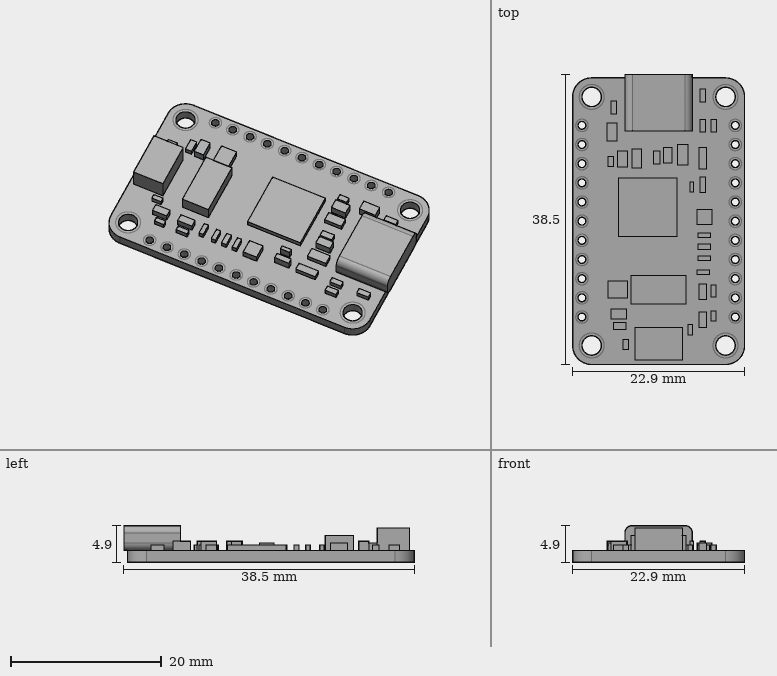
import cadquery as cq


TOTAL_LENGTH = 38.55
TOTAL_HEIGHT = 4.9

BOARD_WIDTH = 22.85
BOARD_LENGTH = 38.1
BOARD_THICKNESS = 1.6
CORNER_RADIUS = 2.55

MOUNT_HOLE_DIAMETER = 2.55
MOUNT_PAD_DIAMETER = 3.3
MOUNT_SPACING_X = BOARD_WIDTH - 2 * CORNER_RADIUS
MOUNT_SPACING_Y = BOARD_LENGTH - 2 * CORNER_RADIUS

PIN_HOLE_DIAMETER = 1.0
PIN_PAD_DIAMETER = 1.65
PIN_COUNT = 11
PIN_PITCH = 2.55
PIN_PITCHES_BETWEEN_ROWS = 8
PIN_ROW_SPACING = PIN_PITCHES_BETWEEN_ROWS * PIN_PITCH

CONNECTOR_WIDTH = 9.0
CONNECTOR_LENGTH = 7.5
CONNECTOR_HEIGHT = TOTAL_HEIGHT - BOARD_THICKNESS
CONNECTOR_RADIUS = 1.0
CONNECTOR_OVERHANG = TOTAL_LENGTH - BOARD_LENGTH

LOW_HEIGHT = 0.75
LOW_COMPONENTS = [
    (-1.45, 1.85, 7.75, 7.75),
    (-5.98, 15.08, 0.75, 1.75),
    (5.85, 16.7, 0.75, 1.7),
    (5.85, 12.7, 0.75, 1.62),
    (7.33, 12.7, 0.75, 1.62),
    (-6.32, 7.9, 0.75, 1.35),
    (-2.9, 8.33, 1.25, 2.45),
    (-0.25, 8.45, 0.85, 1.75),
    (3.2, 8.83, 1.35, 2.7),
    (5.85, 8.35, 1.0, 2.85),
    (6.05, -1.85, 1.62, 0.6),
    (6.05, -3.4, 1.62, 0.7),
    (6.05, -4.95, 1.62, 0.6),
    (5.95, -6.8, 1.62, 0.6),
    (7.3, -9.25, 0.6, 1.62),
    (7.3, -12.57, 0.6, 1.35),
    (4.2, -14.42, 0.6, 1.35),
    (-5.15, -13.92, 1.62, 0.9),
    (-4.35, -16.4, 0.75, 1.35),
]

MEDIUM_HEIGHT = 1.0
MEDIUM_COMPONENTS = [
    (6.1, 0.55, 1.95, 1.95),
    (-5.4, -9.05, 2.6, 2.25),
    (5.85, -9.37, 1.0, 2.1),
    (5.85, -13.07, 1.0, 2.1),
]

TALL_HEIGHT = 1.25
TALL_COMPONENTS = [
    (-6.17, 11.85, 1.35, 2.35),
    (-4.8, 8.25, 1.35, 2.1),
    (1.25, 8.75, 1.1, 2.1),
    (5.85, 4.82, 0.75, 2.1),
    (4.4, 4.55, 0.5, 1.35),
    (-5.3, -12.35, 2.1, 1.35),
]

BUTTON_HEIGHT = 2.0
BUTTON = (0, -9.1, 7.3, 3.8)

SOCKET_HEIGHT = 3.0
SOCKET = (0, -16.27, 6.3, 4.3)


def make_board():
    board = cq.Workplane("XY").box(BOARD_WIDTH, BOARD_LENGTH, BOARD_THICKNESS, centered=(True, True, False))
    return board.edges("|Z").fillet(CORNER_RADIUS)


def mount_points():
    return cq.Workplane("XY").rarray(MOUNT_SPACING_X, MOUNT_SPACING_Y, 2, 2)


def pin_points():
    return cq.Workplane("XY").rarray(PIN_ROW_SPACING, PIN_PITCH, 2, PIN_COUNT)


def make_pads(points, pad_diameter, hole_diameter):
    """Plated rings through the board, flush with both of its faces."""
    pads = points.circle(pad_diameter / 2).extrude(BOARD_THICKNESS)
    return pads.cut(points.circle(hole_diameter / 2).extrude(BOARD_THICKNESS))


def add_pads(body, points, pad_diameter, hole_diameter):
    """Replace the board around each point by a ring; the seams between ring and board are kept."""
    body = body.cut(points.circle(pad_diameter / 2).extrude(BOARD_THICKNESS), clean=False)
    return body.union(make_pads(points, pad_diameter, hole_diameter), clean=False)


def make_connector():
    rear_y = BOARD_LENGTH / 2 + CONNECTOR_OVERHANG
    connector = cq.Workplane("XY").box(CONNECTOR_WIDTH, CONNECTOR_LENGTH, CONNECTOR_HEIGHT)
    connector = connector.edges("|Y").fillet(CONNECTOR_RADIUS)
    return connector.translate((0, rear_y - CONNECTOR_LENGTH / 2, BOARD_THICKNESS + CONNECTOR_HEIGHT / 2))


def add_components(body, components, height):
    for x, y, size_x, size_y in components:
        block = cq.Workplane("XY").box(size_x, size_y, height, centered=(True, True, False))
        body = body.union(block.translate((x, y, BOARD_THICKNESS)), clean=False)
    return body


result = make_board().union(make_connector())
result = add_components(result, LOW_COMPONENTS, LOW_HEIGHT)
result = add_components(result, MEDIUM_COMPONENTS, MEDIUM_HEIGHT)
result = add_components(result, TALL_COMPONENTS, TALL_HEIGHT)
result = add_components(result, [BUTTON], BUTTON_HEIGHT)
result = add_components(result, [SOCKET], SOCKET_HEIGHT)
result = add_pads(result, mount_points(), MOUNT_PAD_DIAMETER, MOUNT_HOLE_DIAMETER)
result = add_pads(result, pin_points(), PIN_PAD_DIAMETER, PIN_HOLE_DIAMETER)